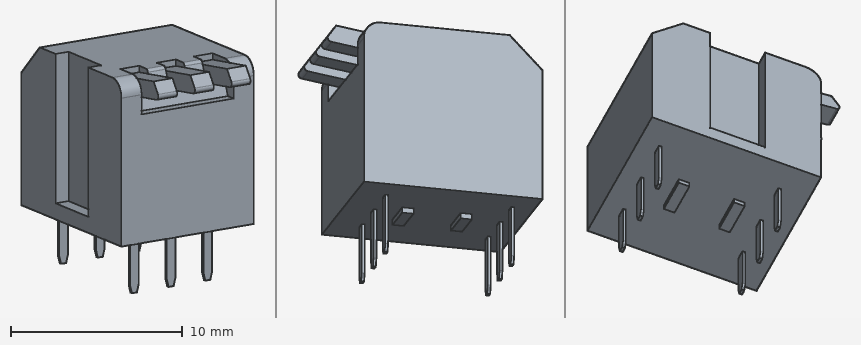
import cadquery as cq
import math


LENGTH = 10.8
WIDTH = 9.17
HEIGHT = 10.0
CHAMFER = 2.0
CHEEK_RADIUS = 1.0

GROOVE_WIDTH = 3.52
GROOVE_X = 0.07
GROOVE_FLOOR_Z = 0.98
GROOVE_DEPTH = 0.9

FOOT_LENGTH = 0.68
FOOT_WIDTH = 2.12
FOOT_HEIGHT = 0.33
FOOT_SPACING = 3.53

POSITIONS = 3
PITCH = 2.54
POSITION_YS = [(i - (POSITIONS - 1) / 2) * PITCH for i in range(POSITIONS)]

LEVER_WIDTH = 1.3
LEVER_THICKNESS = 1.07
LEVER_TILT = math.radians(7.5)
LEVER_ROOT_X = 3.11
LEVER_CREST_X = 6.7
LEVER_CREST_Z = 10.08
LEVER_END_SLOPE = math.radians(55)
LEVER_TIP_RADIUS = 0.25

RECESS_TOP_X = 4.0
RECESS_FOOT_X = 4.75
RECESS_WALL_SLOPE = math.radians(71)
RECESS_EDGE_RADIUS = 0.23
RECESS_WIDTH = (POSITIONS - 1) * PITCH + LEVER_WIDTH

PIN_THICKNESS = 0.18
PIN_WIDTH = 0.6
PIN_LENGTH = 3.5
PIN_TIP_WIDTH = 0.34
PIN_TAPER = 0.49
PIN_ROW_SPACING = 7.62
PIN_ROWS_X = -0.27

LEVER_ROOT_Z = LEVER_CREST_Z - (LEVER_CREST_X - LEVER_ROOT_X) * math.tan(LEVER_TILT)


def extrude_along_y(points, width, y):
    """Extrude an XZ outline to the given width, centred on y."""
    outline = cq.Workplane("XZ", origin=(0, y, 0)).polyline(points).close()
    return outline.extrude(width / 2, both=True)


def make_block():
    """Block with a long chamfer on its -X top edge and a round on its +X top edge."""
    block = cq.Workplane("XY").box(LENGTH, WIDTH, HEIGHT, centered=(True, True, False))
    block = block.edges("<X and >Z").chamfer(CHAMFER)
    return block.edges(">X and |Y").edges(">Z").fillet(CHEEK_RADIUS)


def make_groove():
    """Cutter for the groove in the -Y side."""
    return cq.Workplane("XY").box(
        GROOVE_WIDTH, GROOVE_DEPTH, HEIGHT - GROOVE_FLOOR_Z, centered=(True, False, False)
    ).translate((GROOVE_X, -WIDTH / 2, GROOVE_FLOOR_Z))


def cut_recess(body):
    """Step the +X top edge down between the cheeks and round the rim of the step."""
    ledge_z = HEIGHT - (RECESS_FOOT_X - RECESS_TOP_X) * math.tan(RECESS_WALL_SLOPE)
    outline = [
        (RECESS_TOP_X, HEIGHT),
        (RECESS_FOOT_X, ledge_z),
        (LENGTH / 2, ledge_z),
        (LENGTH / 2, HEIGHT),
    ]
    body = body.cut(extrude_along_y(outline, RECESS_WIDTH, 0))
    rim = cq.NearestToPointSelector((RECESS_TOP_X, 0, HEIGHT))
    return body.edges(rim).fillet(RECESS_EDGE_RADIUS)


def make_lever_slot(y):
    """Cutter that opens the housing above the sloping top of one lever."""
    outline = [
        (LEVER_ROOT_X, LEVER_ROOT_Z),
        (LEVER_CREST_X, LEVER_CREST_Z),
        (LEVER_ROOT_X, LEVER_CREST_Z),
    ]
    return extrude_along_y(outline, LEVER_WIDTH, y)


def make_lever(y):
    """Tilted bar with a slanted end face and a rounded tip."""
    drop = LEVER_THICKNESS / math.cos(LEVER_TILT)
    end_run = drop / (math.tan(LEVER_END_SLOPE) + math.tan(LEVER_TILT))
    outline = [
        (LEVER_ROOT_X, LEVER_ROOT_Z),
        (LEVER_CREST_X, LEVER_CREST_Z),
        (LEVER_CREST_X + end_run, LEVER_CREST_Z - end_run * math.tan(LEVER_END_SLOPE)),
        (LEVER_ROOT_X, LEVER_ROOT_Z - drop),
    ]
    return extrude_along_y(outline, LEVER_WIDTH, y).edges(">X").fillet(LEVER_TIP_RADIUS)


def make_feet():
    """Two pads below the housing."""
    centres = [(-FOOT_SPACING / 2, 0), (FOOT_SPACING / 2, 0)]
    return cq.Workplane("XY").pushPoints(centres).rect(FOOT_LENGTH, FOOT_WIDTH).extrude(-FOOT_HEIGHT)


def make_housing():
    """Block with groove, recess, feet and levers, all one solid."""
    body = cut_recess(make_block().cut(make_groove()))
    for y in POSITION_YS:
        body = body.cut(make_lever_slot(y)).union(make_lever(y))
    return body.union(make_feet())


def make_pin(x, y):
    """Flat pin that hangs from the underside and narrows at its tip."""
    outline = [
        (-PIN_WIDTH / 2, 0),
        (-PIN_WIDTH / 2, PIN_TAPER - PIN_LENGTH),
        (-PIN_TIP_WIDTH / 2, -PIN_LENGTH),
        (PIN_TIP_WIDTH / 2, -PIN_LENGTH),
        (PIN_WIDTH / 2, PIN_TAPER - PIN_LENGTH),
        (PIN_WIDTH / 2, 0),
    ]
    pin = cq.Workplane("YZ").polyline(outline).close().extrude(PIN_THICKNESS / 2, both=True)
    return pin.translate((x, y, 0))


housing = make_housing()

pins = []
for row_x in (PIN_ROWS_X - PIN_ROW_SPACING / 2, PIN_ROWS_X + PIN_ROW_SPACING / 2):
    for pin_y in POSITION_YS:
        pins.append(make_pin(row_x, pin_y).val())

result = cq.Compound.makeCompound([housing.val(), *pins])